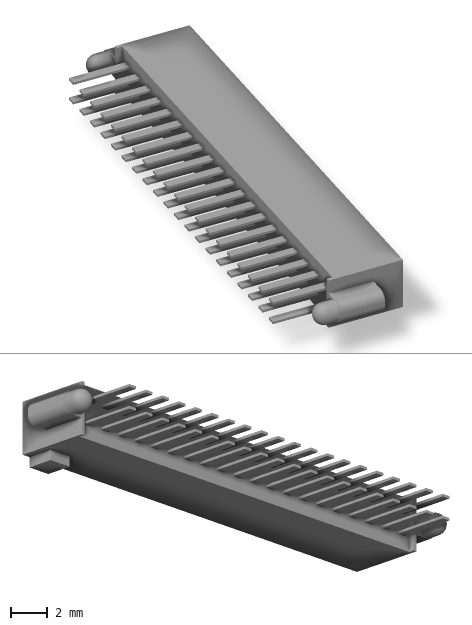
import cadquery as cq

OVERALL_WIDTH = 28.57

HOUSING_WIDTH = 25.77
HOUSING_DEPTH = 4.55
HOUSING_HEIGHT = 3.09
RIM_WIDTH = 0.2
RECESS_DEPTH = 0.35

PEG_DIAMETER = 1.25
PEG_STRAIGHT = 0.69
LUG_DEPTH = 2.75
LUG_HEIGHT = PEG_DIAMETER
LUG_TOP_DROP = 0.85
LUG_FILLET = 0.5

PINS_PER_ROW = 20
PIN_ROW_SPAN = 24.15
PIN_WIDTH = 0.5
PIN_THICKNESS = 0.15
PIN_REACH = 3.09

TAB_WIDTH = 1.45
TAB_DEPTH = 1.63
TAB_HEIGHT = 0.6
TAB_INSET = 0.5

FRONT_Y = -HOUSING_DEPTH
LUG_CENTER_Z = -LUG_TOP_DROP - LUG_HEIGHT / 2
PIN_PITCH = PIN_ROW_SPAN / (PINS_PER_ROW - 1)
PIN_CENTER_Z = -HOUSING_HEIGHT / 2


def box(x_min, y_min, z_min, width, depth, height):
    """Axis-aligned box placed by its lowest corner."""
    return cq.Workplane("XY").box(width, depth, height, centered=False).translate((x_min, y_min, z_min))


def make_block():
    """Housing block with the front recess running through top and bottom."""
    block = box(-HOUSING_WIDTH / 2, FRONT_Y, -HOUSING_HEIGHT, HOUSING_WIDTH, HOUSING_DEPTH, HOUSING_HEIGHT)
    recess_width = HOUSING_WIDTH - 2 * RIM_WIDTH
    recess = box(-recess_width / 2, FRONT_Y, -HOUSING_HEIGHT, recess_width, RECESS_DEPTH, HOUSING_HEIGHT)
    return block.cut(recess)


def make_left_lug():
    """Lug on the left end with rounded outer edges."""
    lug_width = (OVERALL_WIDTH - HOUSING_WIDTH) / 2
    lug = box(-OVERALL_WIDTH / 2, FRONT_Y, LUG_CENTER_Z - LUG_HEIGHT / 2, lug_width, LUG_DEPTH, LUG_HEIGHT)
    return lug.edges("|Y and <X").fillet(LUG_FILLET)


def make_left_peg():
    """Guide peg with a hemispherical nose, flush with the outer side of the left lug."""
    radius = PEG_DIAMETER / 2
    center_x = -OVERALL_WIDTH / 2 + radius
    half_profile = (
        cq.Workplane("XY", origin=(center_x, FRONT_Y, LUG_CENTER_Z))
        .lineTo(radius, 0)
        .lineTo(radius, -PEG_STRAIGHT)
        .radiusArc((0, -PEG_STRAIGHT - radius), radius)
        .close()
    )
    return half_profile.revolve(360, (0, 0, 0), (0, 1, 0))


def make_pins():
    """Two rows of pins on a square grid, standing on the floor of the front recess."""
    recess_floor_y = FRONT_Y + RECESS_DEPTH
    centers = [
        (-PIN_ROW_SPAN / 2 + column * PIN_PITCH, PIN_CENTER_Z + side * PIN_PITCH / 2)
        for side in (-1, 1)
        for column in range(PINS_PER_ROW)
    ]
    return (
        cq.Workplane("XZ", origin=(0, recess_floor_y, 0))
        .pushPoints(centers)
        .rect(PIN_WIDTH, PIN_THICKNESS)
        .extrude(RECESS_DEPTH + PIN_REACH)
    )


def make_housing():
    """Connector housing with its lugs, guide pegs and pins in one solid."""
    left_end = make_left_lug().union(make_left_peg())
    right_end = left_end.mirror("YZ")
    return make_block().union(left_end).union(right_end).union(make_pins())


def make_tab():
    """Key tab below the housing, flush with its rear face."""
    tab_x = -HOUSING_WIDTH / 2 + TAB_INSET
    return box(tab_x, -TAB_DEPTH, -HOUSING_HEIGHT - TAB_HEIGHT, TAB_WIDTH, TAB_DEPTH, TAB_HEIGHT)


housing = make_housing()
tab = make_tab()

result = cq.Compound.makeCompound([housing.val(), tab.val()])